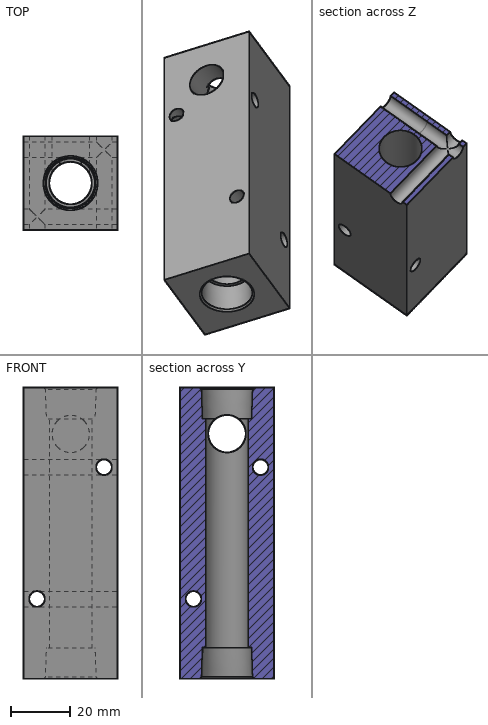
import cadquery as cq

side = 31.8
height = 98.4

bore_diameter = 14.3
counterbore_diameter = 17.1
counterbore_floor_diameter = 16.4
counterbore_depth = 10.5
mouth_diameter = 18.4
mouth_chamfer = (mouth_diameter - counterbore_diameter) / 2

port_diameter = 12.6
port_axis_below_floor = 5.1
port_height = height - counterbore_depth - port_axis_below_floor

cross_hole_diameter = 5.2
cross_hole_offset = 11.3
cross_hole_end_distance = 27.0


def make_block():
    return cq.Workplane("XY").rect(side, side).extrude(height)


def make_bore():
    """Revolve the stepped bore, which is the same from both ends."""
    bore_radius = bore_diameter / 2
    counterbore_radius = counterbore_diameter / 2
    floor_radius = counterbore_floor_diameter / 2
    mouth_radius = mouth_diameter / 2
    return (
        cq.Workplane("XZ")
        .moveTo(0, 0)
        .lineTo(mouth_radius, 0)
        .lineTo(counterbore_radius, mouth_chamfer)
        .lineTo(floor_radius, counterbore_depth)
        .lineTo(bore_radius, counterbore_depth)
        .lineTo(bore_radius, height - counterbore_depth)
        .lineTo(floor_radius, height - counterbore_depth)
        .lineTo(counterbore_radius, height - mouth_chamfer)
        .lineTo(mouth_radius, height)
        .lineTo(0, height)
        .close()
        .revolve(360, (0, 0, 0), (0, 1, 0))
    )


def make_side_port():
    """Radial hole from the bore axis out through the +Y face."""
    return (
        cq.Workplane("XZ")
        .center(0, port_height)
        .circle(port_diameter / 2)
        .extrude(-side / 2)
    )


def make_cross_holes(plane):
    """Through holes along the normal of the given vertical plane."""
    lower = (-cross_hole_offset, cross_hole_end_distance)
    upper = (cross_hole_offset, height - cross_hole_end_distance)
    return (
        cq.Workplane(plane)
        .pushPoints([lower, upper])
        .circle(cross_hole_diameter / 2)
        .extrude(side / 2, both=True)
    )


result = make_block().cut(make_bore()).cut(make_side_port())
for plane in ("XZ", "YZ"):
    result = result.cut(make_cross_holes(plane))